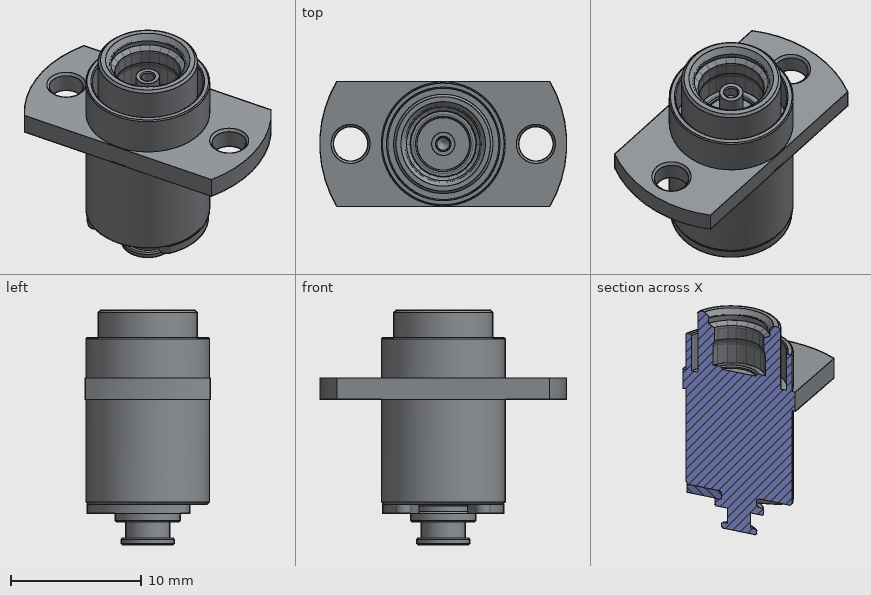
import cadquery as cq
import math

TOTAL_HEIGHT = 18.0
RIM_HEIGHT = 0.53
DISC_BOTTOM = 1.76
CLIP_BOTTOM = 2.4
SLEEVE_BOTTOM = 3.09
FLANGE_BOTTOM = 11.15
FLANGE_TOP = 12.8
GAP_FLOOR = FLANGE_TOP
SLEEVE_TOP = 15.88

FLANGE_LENGTH = 18.95
FLANGE_WIDTH = 9.6
SCREW_SPACING = 14.21
SCREW_RADIUS = 1.3
SCREW_CHAMFER = 0.19

SLEEVE_RADIUS = 4.75
SLEEVE_BORE_RADIUS = 4.26
SLEEVE_EDGE = 0.1
SLEEVE_FOOT_EDGE = 0.2

BARREL_RADIUS = 3.8
BARREL_EDGE = 0.19
GROOVE_RADIUS = 2.05
GROOVE_BEVEL = 0.13
DISC_RADIUS = 2.5
DISC_EDGE = 0.1
STEM_RADIUS = 1.7
RIM_RADIUS = 2.05
RIM_EDGE = 0.11

MOUTH_RADIUS = 3.24
LIP_RADIUS = 2.82
LIP_Z = TOTAL_HEIGHT - (MOUTH_RADIUS - LIP_RADIUS)
UNDERCUT_RADIUS = 2.95
SOCKET_RINGS = [
    (2.62, 13.65),
    (2.62, 15.25),
    (2.6, 15.45),
    (2.5, 15.73),
    (2.5, 16.68),
    (2.54, 16.83),
    (UNDERCUT_RADIUS, 17.1),
]
FLAT_COUNT = 11
FLAT_HALF_ANGLE = 7.4

FLOOR_RIM_RADIUS = 2.27
FLOOR_RIM_Z = 13.68
SEAT_RADIUS = 2.12
WELL_RADIUS = 2.0
WELL_FLOOR = 13.45

PIN_RADIUS = 0.9
PIN_TOP = 16.4
PIN_BORE_RADIUS = 0.5
PIN_BORE_EDGE = 0.1
PIN_BORE_DEPTH = 0.95
DRILL_ANGLE = 118

CLIP_RADIUS = 4.66
CLIP_PRONG_RADIUS = 0.65
CLIP_OPENING_ANGLE = 35
CLIP_OPENING_CENTRE_WIDTH = 3.18


def revolve(points):
    """Solid of revolution about Z from (radius, height) points."""
    return cq.Workplane("XZ").polyline(points).close().revolve(360, (0, 0), (0, 1))


def make_flange():
    """Plate with round ends and straight sides, with two countersunk screw holes."""
    thickness = FLANGE_TOP - FLANGE_BOTTOM
    plate = cq.Workplane("XY").circle(FLANGE_LENGTH / 2).extrude(thickness)
    trim = cq.Workplane("XY").box(FLANGE_LENGTH, FLANGE_WIDTH, 2 * thickness)
    screw_hole = revolve([
        (0, 0), (SCREW_RADIUS, 0), (SCREW_RADIUS, thickness - SCREW_CHAMFER),
        (SCREW_RADIUS + SCREW_CHAMFER, thickness), (0, thickness),
    ])
    flange = plate.intersect(trim)
    for side in (-1, 1):
        flange = flange.cut(screw_hole.translate((side * SCREW_SPACING / 2, 0, 0)))
    return flange.translate((0, 0, FLANGE_BOTTOM))


def make_shell():
    """Turned outside of the jack: rim, stem, disc, clip groove, sleeve and barrel."""
    return revolve([
        (0, 0),
        (RIM_RADIUS - RIM_EDGE, 0), (RIM_RADIUS, RIM_EDGE),
        (RIM_RADIUS, RIM_HEIGHT - RIM_EDGE), (RIM_RADIUS - RIM_EDGE, RIM_HEIGHT),
        (STEM_RADIUS, RIM_HEIGHT), (STEM_RADIUS, DISC_BOTTOM),
        (DISC_RADIUS - DISC_EDGE, DISC_BOTTOM), (DISC_RADIUS, DISC_BOTTOM + DISC_EDGE),
        (DISC_RADIUS, CLIP_BOTTOM),
        (GROOVE_RADIUS + GROOVE_BEVEL, CLIP_BOTTOM), (GROOVE_RADIUS, CLIP_BOTTOM + GROOVE_BEVEL),
        (GROOVE_RADIUS, SLEEVE_BOTTOM - GROOVE_BEVEL), (GROOVE_RADIUS + GROOVE_BEVEL, SLEEVE_BOTTOM),
        (SLEEVE_RADIUS - SLEEVE_FOOT_EDGE, SLEEVE_BOTTOM),
        (SLEEVE_RADIUS, SLEEVE_BOTTOM + SLEEVE_FOOT_EDGE),
        (SLEEVE_RADIUS, SLEEVE_TOP - SLEEVE_EDGE), (SLEEVE_RADIUS - SLEEVE_EDGE, SLEEVE_TOP),
        (SLEEVE_BORE_RADIUS + SLEEVE_EDGE, SLEEVE_TOP), (SLEEVE_BORE_RADIUS, SLEEVE_TOP - SLEEVE_EDGE),
        (SLEEVE_BORE_RADIUS, GAP_FLOOR), (BARREL_RADIUS, GAP_FLOOR),
        (BARREL_RADIUS, TOTAL_HEIGHT - BARREL_EDGE), (BARREL_RADIUS - BARREL_EDGE, TOTAL_HEIGHT),
        (0, TOTAL_HEIGHT),
    ])


def make_flatted_zone(low, high):
    """Frustum between two (radius, height) rings, its round side cut by the evenly spread flats."""
    frustum = revolve([(0, low[1]), low, high, (0, high[1])])
    corner = math.cos(math.radians(FLAT_HALF_ANGLE)) / math.cos(math.pi / FLAT_COUNT)
    prism = (
        cq.Workplane("XY", origin=(0, 0, low[1]))
        .polygon(FLAT_COUNT, 2 * low[0] * corner)
        .workplane(offset=high[1] - low[1])
        .polygon(FLAT_COUNT, 2 * high[0] * corner)
        .loft(ruled=True)
        .rotate((0, 0, 0), (0, 0, 1), 90 + 180 / FLAT_COUNT)
    )
    return frustum.intersect(prism)


def make_socket():
    """Cavity of the socket, from its floor to the mouth."""
    foot_radius, foot_z = SOCKET_RINGS[0]
    undercut_z = SOCKET_RINGS[-1][1]
    socket = revolve([
        (0, undercut_z), (UNDERCUT_RADIUS, undercut_z), (UNDERCUT_RADIUS, LIP_Z),
        (LIP_RADIUS, LIP_Z), (MOUTH_RADIUS, TOTAL_HEIGHT), (0, TOTAL_HEIGHT),
    ])
    for low, high in zip(SOCKET_RINGS, SOCKET_RINGS[1:]):
        socket = socket.union(make_flatted_zone(low, high))
    raised_floor = revolve([
        (0, foot_z), (foot_radius, foot_z), (FLOOR_RIM_RADIUS, FLOOR_RIM_Z), (0, FLOOR_RIM_Z),
    ])
    well = revolve([
        (0, WELL_FLOOR), (WELL_RADIUS, WELL_FLOOR),
        (WELL_RADIUS, FLOOR_RIM_Z - (SEAT_RADIUS - WELL_RADIUS)),
        (SEAT_RADIUS, FLOOR_RIM_Z), (0, FLOOR_RIM_Z),
    ])
    return socket.cut(raised_floor).union(well)


def make_pin():
    """Contact pin standing on the socket floor, with a drilled blind bore."""
    bore_bottom = PIN_TOP - PIN_BORE_DEPTH
    drill_point = PIN_BORE_RADIUS / math.tan(math.radians(DRILL_ANGLE / 2))
    return revolve([
        (0, WELL_FLOOR), (PIN_RADIUS, WELL_FLOOR), (PIN_RADIUS, PIN_TOP),
        (PIN_BORE_RADIUS + PIN_BORE_EDGE, PIN_TOP), (PIN_BORE_RADIUS, PIN_TOP - PIN_BORE_EDGE),
        (PIN_BORE_RADIUS, bore_bottom), (0, bore_bottom - drill_point),
    ])


def make_jack():
    """Main body: shell with its flange, socket and contact pin."""
    core = cq.Workplane("XY").circle(BARREL_RADIUS).extrude(TOTAL_HEIGHT)
    return make_shell().union(make_flange().cut(core)).cut(make_socket()).union(make_pin())


def make_clip(jack):
    """Flat clip that opens towards -Y with rounded prongs, fitted to the groove of the jack."""
    thickness = SLEEVE_BOTTOM - CLIP_BOTTOM
    inner_x = CLIP_OPENING_CENTRE_WIDTH / 2
    outer_x = inner_x + CLIP_RADIUS * math.tan(math.radians(CLIP_OPENING_ANGLE / 2))
    opening = (
        cq.Workplane("XY")
        .polyline([(-inner_x, 0), (-outer_x, -CLIP_RADIUS), (outer_x, -CLIP_RADIUS), (inner_x, 0)])
        .close()
        .extrude(thickness)
    )
    plate = cq.Workplane("XY").circle(CLIP_RADIUS).extrude(thickness).cut(opening)
    for side in (-1, 1):
        prong_corner = (side * outer_x, -CLIP_RADIUS, thickness / 2)
        plate = plate.edges(cq.selectors.NearestToPointSelector(prong_corner)).fillet(CLIP_PRONG_RADIUS)
    return plate.translate((0, 0, CLIP_BOTTOM)).cut(jack)


jack = make_jack()
clip = make_clip(jack)
result = cq.Compound.makeCompound([jack.solids().val(), clip.solids().val()])